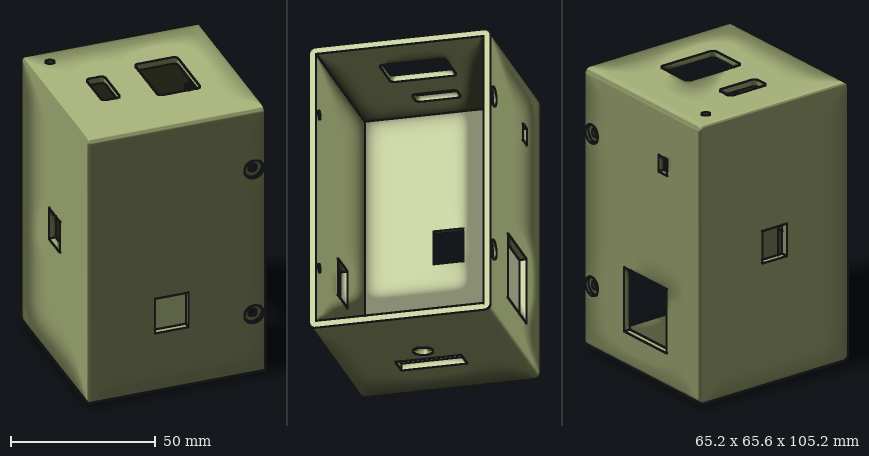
import cadquery as cq

WIDTH = 65.2
DEPTH = 65.6
HEIGHT = 105.2
WALL = 2.6

EDGE_RADIUS = 2.2
FRONT_RADIUS = 1.0
CUT_DEPTH = 2 * WALL

LEFT = -WIDTH / 2
RIGHT = WIDTH / 2
FRONT = -DEPTH / 2
BACK = DEPTH / 2
BOTTOM = -HEIGHT / 2
TOP = HEIGHT / 2

FRONT_WINDOW_WIDTH = 10.6
FRONT_WINDOW_HEIGHT = 12.2

DISPLAY_WIDTH = 23.6
DISPLAY_LENGTH = 15.8
DISPLAY_Y = FRONT + 42.0
DISPLAY_RADIUS = 1.5
SLOT_WIDTH = 16.2
SLOT_LENGTH = 6.8
SLOT_Y = FRONT + 18.1
SLOT_RADIUS = 1.5
PIN_HOLE_DIAMETER = 3.0
PIN_HOLE_X = LEFT + 8.5
PIN_HOLE_Y = FRONT + 7.7

LEFT_WINDOW_SIZE = 24.1
LEFT_WINDOW_Y = FRONT + 31.0
LEFT_WINDOW_Z = BOTTOM + 25.4
SMALL_WINDOW_LENGTH = 5.0
SMALL_WINDOW_HEIGHT = 6.2
SMALL_WINDOW_Y = FRONT + 21.1
SMALL_WINDOW_Z = BOTTOM + 83.4

RIGHT_WINDOW_LENGTH = 12.4
RIGHT_WINDOW_HEIGHT = 13.7
RIGHT_WINDOW_Y = LEFT_WINDOW_Y
RIGHT_WINDOW_Z = LEFT_WINDOW_Z + LEFT_WINDOW_SIZE / 2 - RIGHT_WINDOW_HEIGHT / 2

CABLE_HOLE_DIAMETER = 7.0
CABLE_HOLE_Y = FRONT + 35.4
FLOOR_OPENING_WIDTH = DISPLAY_WIDTH
FLOOR_OPENING_LENGTH = 8.0
FLOOR_OPENING_FRONT_Y = FRONT + 20.7

SCREW_DIAMETER = 3.0
SCREW_HEAD_DIAMETER = 7.0
SCREW_HEAD_DEPTH = WALL / 2
SCREW_Y = BACK - 4.2
SCREW_HEIGHTS = (BOTTOM + 24.0, BOTTOM + 81.4)


def box_at(size_x, size_y, size_z, center):
    return cq.Workplane("XY").box(size_x, size_y, size_z).translate(center)


def make_shell():
    """Box with rounded long edges, a rounded front rim and an open back."""
    outer = cq.Workplane("XY").box(WIDTH, DEPTH, HEIGHT)
    outer = outer.edges("|Y").fillet(EDGE_RADIUS)
    outer = outer.faces("<Y").edges().fillet(FRONT_RADIUS)
    cavity = box_at(WIDTH - 2 * WALL, DEPTH, HEIGHT - 2 * WALL, (0, WALL, 0))
    return outer.cut(cavity)


def cut_front(body):
    window = box_at(FRONT_WINDOW_WIDTH, CUT_DEPTH, FRONT_WINDOW_HEIGHT, (0, FRONT, 0))
    return body.cut(window)


def cut_top(body):
    display = box_at(DISPLAY_WIDTH, DISPLAY_LENGTH, CUT_DEPTH, (0, DISPLAY_Y, TOP))
    slot = box_at(SLOT_WIDTH, SLOT_LENGTH, CUT_DEPTH, (0, SLOT_Y, TOP))
    body = body.cut(display.edges("|Z").fillet(DISPLAY_RADIUS))
    body = body.cut(slot.edges("|Z").fillet(SLOT_RADIUS))
    pin_hole = cq.Workplane("XY").circle(PIN_HOLE_DIAMETER / 2).extrude(CUT_DEPTH, both=True)
    return body.cut(pin_hole.translate((PIN_HOLE_X, PIN_HOLE_Y, TOP)))


def cut_sides(body):
    left_window = box_at(
        CUT_DEPTH, LEFT_WINDOW_SIZE, LEFT_WINDOW_SIZE, (LEFT, LEFT_WINDOW_Y, LEFT_WINDOW_Z)
    )
    small_window = box_at(
        CUT_DEPTH, SMALL_WINDOW_LENGTH, SMALL_WINDOW_HEIGHT, (LEFT, SMALL_WINDOW_Y, SMALL_WINDOW_Z)
    )
    right_window = box_at(
        CUT_DEPTH, RIGHT_WINDOW_LENGTH, RIGHT_WINDOW_HEIGHT, (RIGHT, RIGHT_WINDOW_Y, RIGHT_WINDOW_Z)
    )
    return body.cut(left_window).cut(small_window).cut(right_window)


def cut_floor(body):
    cable_hole = cq.Workplane("XY").circle(CABLE_HOLE_DIAMETER / 2).extrude(CUT_DEPTH, both=True)
    body = body.cut(cable_hole.translate((0, CABLE_HOLE_Y, BOTTOM)))
    opening_y = FLOOR_OPENING_FRONT_Y + FLOOR_OPENING_LENGTH / 2
    opening = box_at(FLOOR_OPENING_WIDTH, FLOOR_OPENING_LENGTH, CUT_DEPTH, (0, opening_y, BOTTOM))
    return body.cut(opening)


def cut_screw_holes(body):
    """Each hole crosses both side walls and has a head recess on either outer face."""
    recess_gap = WIDTH - 2 * SCREW_HEAD_DEPTH
    shank = cq.Workplane("YZ").circle(SCREW_DIAMETER / 2).extrude(WIDTH, both=True)
    heads = cq.Workplane("YZ").circle(SCREW_HEAD_DIAMETER / 2).extrude(WIDTH, both=True)
    between_heads = cq.Workplane("YZ").circle(SCREW_HEAD_DIAMETER).extrude(recess_gap / 2, both=True)
    cutter = shank.union(heads.cut(between_heads))
    for screw_z in SCREW_HEIGHTS:
        body = body.cut(cutter.translate((0, SCREW_Y, screw_z)))
    return body


result = make_shell()
result = cut_front(result)
result = cut_top(result)
result = cut_sides(result)
result = cut_floor(result)
result = cut_screw_holes(result)